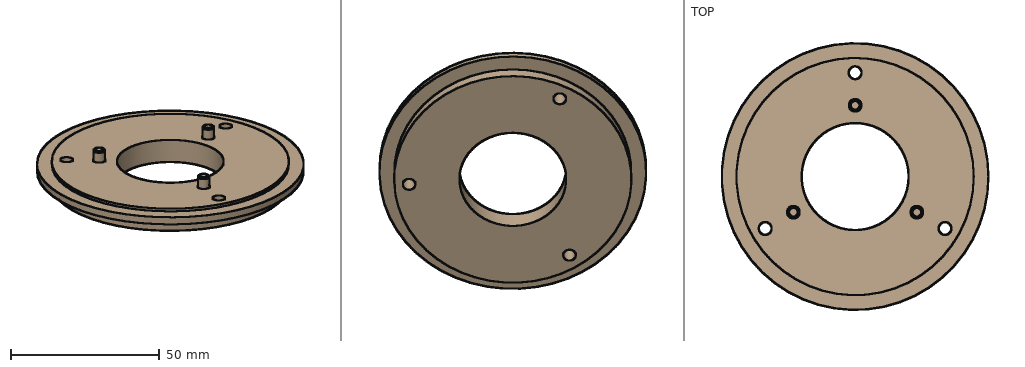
import cadquery as cq
import math

FLANGE_DIAMETER = 90.0
STEP_DIAMETER = 80.0
BORE_DIAMETER = 36.0
LOWER_STEP_HEIGHT = 4.6
FLANGE_THICKNESS = 2.6
UPPER_STEP_HEIGHT = 1.0
PLATE_HEIGHT = LOWER_STEP_HEIGHT + FLANGE_THICKNESS + UPPER_STEP_HEIGHT

PATTERN_COUNT = 3
FIRST_ANGLE = 90.0

SCREW_HOLE_DIAMETER = 4.2
SCREW_HOLE_RADIUS = 35.0

PIN_DIAMETER = 4.0
PIN_CHAMFER = 0.495
PIN_PROJECTION = 4.05
PIN_HOLE_DIAMETER = 4.2
PIN_HOLE_DEPTH = PIN_PROJECTION
PIN_PATTERN_RADIUS = 24.0
PIN_LENGTH = PIN_HOLE_DEPTH + PIN_PROJECTION
PIN_BASE_Z = PLATE_HEIGHT - PIN_HOLE_DEPTH


def pattern_points(radius):
    """Equally spaced (x, y) points on a circle around the plate axis."""
    angles = [math.radians(FIRST_ANGLE + i * 360.0 / PATTERN_COUNT) for i in range(PATTERN_COUNT)]
    return [(radius * math.cos(angle), radius * math.sin(angle)) for angle in angles]


def cut_holes(plate, points, diameter, depth):
    """Cut round holes of the given depth down from the top of the plate."""
    top = cq.Workplane("XY").workplane(offset=PLATE_HEIGHT)
    drills = top.pushPoints(points).circle(diameter / 2).extrude(-depth)
    return plate.cut(drills)


def make_plate():
    """Stepped round plate with its bore, screw holes and pin holes."""
    plate = (
        cq.Workplane("XY")
        .circle(STEP_DIAMETER / 2).extrude(LOWER_STEP_HEIGHT)
        .faces(">Z").workplane()
        .circle(FLANGE_DIAMETER / 2).extrude(FLANGE_THICKNESS)
        .faces(">Z").workplane()
        .circle(STEP_DIAMETER / 2).extrude(UPPER_STEP_HEIGHT)
    )
    plate = cut_holes(plate, [(0, 0)], BORE_DIAMETER, PLATE_HEIGHT)
    plate = cut_holes(plate, pattern_points(SCREW_HOLE_RADIUS), SCREW_HOLE_DIAMETER, PLATE_HEIGHT)
    return cut_holes(plate, pattern_points(PIN_PATTERN_RADIUS), PIN_HOLE_DIAMETER, PIN_HOLE_DEPTH)


def make_pin(x, y):
    """Dowel pin standing on the floor of its hole at (x, y), chamfered at its upper end."""
    return (
        cq.Workplane("XY", origin=(x, y, PIN_BASE_Z))
        .circle(PIN_DIAMETER / 2).extrude(PIN_LENGTH)
        .faces(">Z").chamfer(PIN_CHAMFER)
    )


plate = make_plate()
pins = [make_pin(x, y) for x, y in pattern_points(PIN_PATTERN_RADIUS)]

result = cq.Compound.makeCompound([plate.solids().val(), *[pin.solids().val() for pin in pins]])